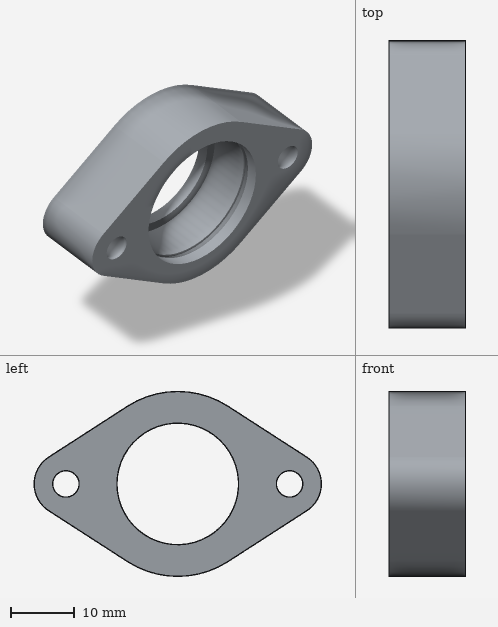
import cadquery as cq
import math

thickness = 12.0
length = 45.0
hub_radius = 14.5
ear_radius = 5.0
hole_diameter = 4.1

bore_radius = 9.5
pocket_radius = 11.0
pocket_start = 2.0
pocket_length = 7.0
groove_width = 1.1
groove_radius = 11.4

ear_offset = length / 2 - ear_radius


def plate():
    """Flange outline: a hub arc and two ear arcs joined by tangent lines."""
    tangent_cos = (hub_radius - ear_radius) / ear_offset
    tangent_sin = math.sqrt(1 - tangent_cos**2)
    hub_y = hub_radius * tangent_cos
    hub_z = hub_radius * tangent_sin
    ear_y = ear_offset + ear_radius * tangent_cos
    ear_z = ear_radius * tangent_sin
    return (
        cq.Workplane("YZ")
        .moveTo(-hub_y, hub_z)
        .threePointArc((0, hub_radius), (hub_y, hub_z))
        .lineTo(ear_y, ear_z)
        .threePointArc((length / 2, 0), (ear_y, -ear_z))
        .lineTo(hub_y, -hub_z)
        .threePointArc((0, -hub_radius), (-hub_y, -hub_z))
        .lineTo(-ear_y, -ear_z)
        .threePointArc((-length / 2, 0), (-ear_y, ear_z))
        .close()
        .extrude(thickness)
    )


def bore_cutter():
    """Narrow entry bore, then a wider pocket open to the +X face with a ring groove."""
    groove_start = pocket_start + pocket_length
    groove_end = groove_start + groove_width
    return (
        cq.Workplane("XY")
        .moveTo(0, 0)
        .lineTo(0, bore_radius)
        .lineTo(pocket_start, bore_radius)
        .lineTo(pocket_start, pocket_radius)
        .lineTo(groove_start, pocket_radius)
        .lineTo(groove_start, groove_radius)
        .lineTo(groove_end, groove_radius)
        .lineTo(groove_end, pocket_radius)
        .lineTo(thickness, pocket_radius)
        .lineTo(thickness, 0)
        .close()
        .revolve(360, (0, 0, 0), (1, 0, 0))
    )


def ear_holes():
    """One through hole at the center of each ear."""
    return (
        cq.Workplane("YZ")
        .pushPoints([(-ear_offset, 0), (ear_offset, 0)])
        .circle(hole_diameter / 2)
        .extrude(thickness)
    )


result = plate().cut(bore_cutter()).cut(ear_holes())
result = result.translate((-thickness / 2, 0, 0))